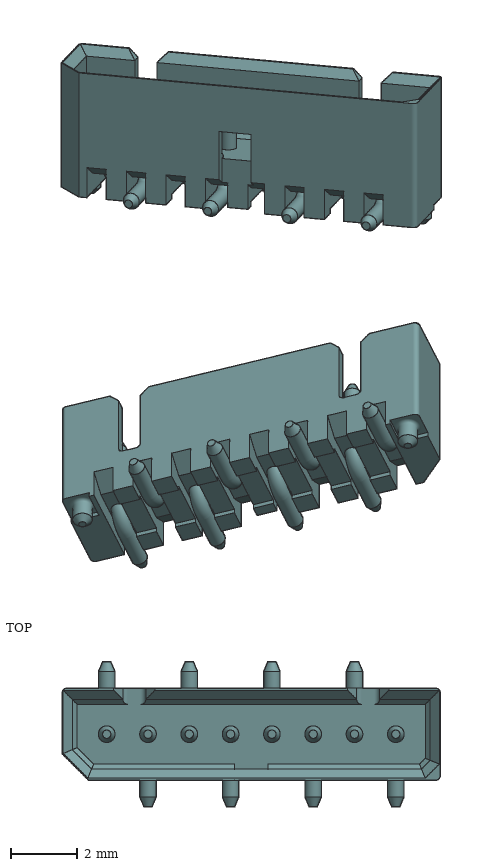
import cadquery as cq
import math


length = 11.45
width = 2.79
height = 3.95
corner_radius = 0.15
key_corner = 0.8

end_wall = 0.31
side_wall = 0.34
floor_z = 1.55
rim_chamfer = 0.27
foot_chamfer = 0.15
cavity_key_corner = 0.58
cavity_small_corner = 0.26

key_slot_width = 0.7
key_slot_offset = 3.54

window_width = 1.01
window_top = 2.5
window_depth = 0.3

lead_slot_width = 0.61
lead_slot_roof = 0.58
lead_slot_mouth = 0.96
post_depth = 0.64
relief = 0.15

peg_inset = 0.5
peg_radius = 0.3
peg_drop = 0.6
peg_tip_chamfer = 0.18
peg_root_radius = 0.1
pocket_size = 0.89

pin_count = 8
pin_span = 8.75
pin_radius = 0.25
pin_tip_radius = 0.13
pin_top = 3.3
pin_taper = 0.3
lead_z = 0.2
lead_reach = 2.2
bend_radius = 0.69

half_length = length / 2
half_width = width / 2
pin_pitch = pin_span / (pin_count - 1)
pin_xs = [-pin_span / 2 + i * pin_pitch for i in range(pin_count)]
peg_x = half_length - peg_inset
peg_y = half_width - peg_inset
peg_points = [(-peg_x, peg_y), (peg_x, peg_y)]


def block(x_min, x_max, y_min, y_max, z_min, z_max):
    """Axis-aligned box between the given limits."""
    size = (x_max - x_min, y_max - y_min, z_max - z_min)
    return cq.Workplane("XY").box(*size, centered=False).translate((x_min, y_min, z_min))


def make_shell():
    """Solid outer block with its key corner and rounded upright corners."""
    shell = block(-half_length, half_length, -half_width, half_width, 0, height)
    shell = shell.edges("|Z and (>X or >Y)").fillet(corner_radius)
    return shell.edges("|Z and <X and <Y").chamfer(key_corner)


def cavity_outline(z, inset):
    """Cavity cross-section at height z, every side moved inward by inset."""
    x = half_length - end_wall - inset
    y = half_width - side_wall - inset
    shorter = inset * (2 - math.sqrt(2))
    key_leg = cavity_key_corner - shorter
    small_leg = cavity_small_corner - shorter
    points = [
        (-x, y),
        (x, y),
        (x, -y + small_leg),
        (x - small_leg, -y),
        (-x + key_leg, -y),
        (-x, -y + key_leg),
    ]
    return cq.Workplane("XY").workplane(offset=z).polyline(points).close()


def cavity_layer(z_min, inset_min, z_max, inset_max):
    """Layer of the cavity whose straight sides run from one inset at the bottom to another at the top."""
    bottom = cavity_outline(z_min, inset_min).wires().val()
    top = cavity_outline(z_max, inset_max).wires().val()
    return cq.Workplane(cq.Solid.makeLoft([bottom, top], True))


def make_cavity():
    """Open-topped cavity with a 45 degree foot and a 45 degree lead-in rim."""
    foot_top = floor_z + foot_chamfer
    rim_bottom = height - rim_chamfer
    foot = cavity_layer(floor_z, foot_chamfer, foot_top, 0)
    walls = cavity_layer(foot_top, 0, rim_bottom, 0)
    rim = cavity_layer(rim_bottom, 0, height, -rim_chamfer)
    return foot.union(walls).union(rim)


def make_key_slot(x):
    """Slot through the back wall, rounded at the floor and flared at the top."""
    half = key_slot_width / 2
    depth = side_wall + foot_chamfer
    slot = block(x - half, x + half, half_width - depth, half_width, floor_z, height)
    slot = slot.edges("|Y and <Z").fillet(foot_chamfer)
    flare_profile = [
        (-half - rim_chamfer, 0),
        (half + rim_chamfer, 0),
        (half, -rim_chamfer),
        (-half, -rim_chamfer),
    ]
    flare = (
        cq.Workplane("XZ", origin=(x, half_width, height))
        .polyline(flare_profile)
        .close()
        .extrude(depth)
    )
    return slot.union(flare)


def make_window():
    """Latch window: a recess in the front face that opens into the cavity above the cavity floor."""
    half = window_width / 2
    recess = block(-half, half, -half_width, -half_width + window_depth, 0, window_top)
    opening_depth = side_wall + foot_chamfer
    opening = block(-half, half, -half_width, -half_width + opening_depth, floor_z, window_top)
    return recess.union(opening)


def make_lead_slot(x):
    """Slot across the underside whose roof rises towards both outer faces."""
    inner = half_width - post_depth
    profile = [
        (-half_width, 0),
        (half_width, 0),
        (half_width, lead_slot_mouth),
        (inner, lead_slot_roof),
        (-inner, lead_slot_roof),
        (-half_width, lead_slot_mouth),
    ]
    slot_side = cq.Workplane("YZ", origin=(x - lead_slot_width / 2, 0, 0))
    return slot_side.polyline(profile).close().extrude(lead_slot_width)


def make_channel():
    """Shallow underside channel between the front and back posts."""
    half_span = pin_xs[-1] + lead_slot_width / 2
    inner = half_width - post_depth
    return block(-half_span, half_span, -inner, inner, 0, relief)


def make_pocket(side):
    """Shallow corner pocket around a peg, at the end given by side (-1 or +1)."""
    x_limits = sorted((side * half_length, side * (half_length - pocket_size)))
    return block(*x_limits, half_width - pocket_size, half_width, 0, relief)


def make_peg(x, y):
    """Chamfered locating peg with a rounded root, standing down from the pocket roof."""
    arc_middle = peg_root_radius * (1 - math.sqrt(0.5))
    tip_radius = peg_radius - peg_tip_chamfer
    return (
        cq.Workplane("XZ")
        .moveTo(0, relief)
        .lineTo(peg_radius + peg_root_radius, relief)
        .threePointArc(
            (peg_radius + arc_middle, relief - arc_middle),
            (peg_radius, relief - peg_root_radius),
        )
        .lineTo(peg_radius, -peg_drop + peg_tip_chamfer)
        .lineTo(tip_radius, -peg_drop)
        .lineTo(0, -peg_drop)
        .close()
        .revolve(360, (0, 0, 0), (0, 1, 0))
        .translate((x, y, 0))
    )


def make_pin(x, side):
    """Right-angle pin: upright post, bend, and a lead towards side (-1 for -Y, +1 for +Y)."""
    bend_top = lead_z + bend_radius
    upright = (
        cq.Workplane("XY", origin=(0, 0, bend_top))
        .circle(pin_radius)
        .extrude(pin_top - bend_top)
        .faces(">Z")
        .chamfer(pin_taper, pin_radius - pin_tip_radius)
    )
    bend = (
        cq.Workplane("XY", origin=(0, 0, bend_top))
        .circle(pin_radius)
        .revolve(90, (0, -bend_radius, 0), (-1, -bend_radius, 0))
    )
    lead = (
        cq.Workplane("XZ", origin=(0, -bend_radius, lead_z))
        .circle(pin_radius)
        .extrude(lead_reach - bend_radius)
        .faces("<Y")
        .chamfer(pin_taper, pin_radius - pin_tip_radius)
    )
    pin = upright.union(bend).union(lead)
    if side > 0:
        pin = pin.rotate((0, 0, 0), (0, 0, 1), 180)
    return pin.translate((x, 0, 0))


def make_housing(pins):
    """Housing with its cavity, slots, window and pegs, and a matching hole for every pin."""
    housing = make_shell().cut(make_cavity()).cut(make_window()).cut(make_channel())
    for side in (-1, 1):
        housing = housing.cut(make_key_slot(side * key_slot_offset)).cut(make_pocket(side))
    for x in pin_xs:
        housing = housing.cut(make_lead_slot(x))
    for point in peg_points:
        housing = housing.union(make_peg(*point))
    for pin in pins:
        housing = housing.cut(pin)
    return housing


pins = [make_pin(x, 1 if i % 2 == 0 else -1) for i, x in enumerate(pin_xs)]
housing = make_housing(pins)

result = cq.Compound.makeCompound([housing.solids().val(), *[pin.solids().val() for pin in pins]])